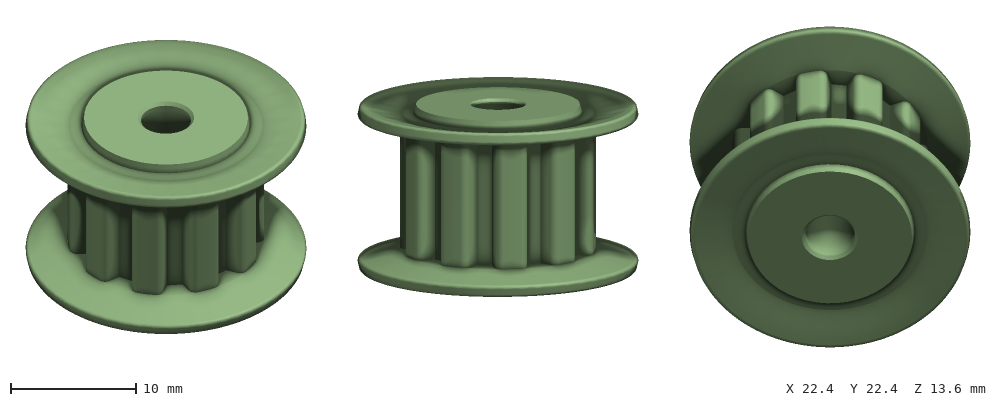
import cadquery as cq
import math

total_height = 13.55
flange_radius = 11.22
belt_width = 10.14

tooth_count = 10
tooth_tip_radius = 7.85
groove_depth = 1.41
groove_floor_width = 1.23
groove_flank_angle = 25.0
tooth_corner_radius = 0.6

flange_thickness = 0.99
flange_dish_angle = 11.5
flange_edge_radius = 0.27
dish_inner_radius = tooth_tip_radius

hub_base_radius = 6.75
hub_top_radius = 6.55
bore_radius = 2.0
bore_chamfer = 0.25

half_height = total_height / 2
half_belt = belt_width / 2
flange_seat = half_belt + flange_thickness


def groove_cutter():
    """One belt groove along -Y, its corners rounded into the tooth tips."""
    angle = math.radians(groove_flank_angle)
    sine = math.sin(angle)
    cosine = math.cos(angle)
    floor_half = groove_floor_width / 2
    floor_radius = tooth_tip_radius - groove_depth

    start_x = floor_half + tooth_corner_radius * cosine
    start_y = floor_radius - tooth_corner_radius * sine
    centre_radius = tooth_tip_radius - tooth_corner_radius
    along = start_x * sine + start_y * cosine
    across = start_x * cosine - start_y * sine
    flank_length = math.sqrt(centre_radius**2 - across**2) - along
    centre_x = start_x + flank_length * sine
    centre_y = start_y + flank_length * cosine

    flank_end = (floor_half + flank_length * sine, floor_radius + flank_length * cosine)
    tip_scale = tooth_tip_radius / centre_radius
    tip = (centre_x * tip_scale, centre_y * tip_scale)
    middle_angle = (math.pi - angle + math.atan2(centre_y, centre_x)) / 2
    middle = (
        centre_x + tooth_corner_radius * math.cos(middle_angle),
        centre_y + tooth_corner_radius * math.sin(middle_angle),
    )

    def right(point):
        return (point[0], -point[1])

    def left(point):
        return (-point[0], -point[1])

    outer = (tip[0], flange_radius)
    return (
        cq.Workplane("XY", origin=(0, 0, -half_belt))
        .moveTo(-floor_half, -floor_radius)
        .lineTo(floor_half, -floor_radius)
        .lineTo(*right(flank_end))
        .threePointArc(right(middle), right(tip))
        .lineTo(*right(outer))
        .lineTo(*left(outer))
        .lineTo(*left(tip))
        .threePointArc(left(middle), left(flank_end))
        .close()
        .extrude(belt_width)
    )


def toothed_body():
    body = cq.Workplane("XY").circle(tooth_tip_radius).extrude(half_belt, both=True)
    cutter = groove_cutter()
    for index in range(tooth_count):
        body = body.cut(cutter.rotate((0, 0, 0), (0, 0, 1), index * 360 / tooth_count))
    return body


def upper_flange():
    """Flat disc turning into a cone, with the rim square to the cone and rounded."""
    angle = math.radians(flange_dish_angle)
    corner_overhang = flange_edge_radius * (math.cos(angle) + math.sin(angle) - 1)
    lower_radius = flange_radius + corner_overhang
    lower_z = half_belt + (lower_radius - dish_inner_radius) * math.tan(angle)
    upper_radius = lower_radius - flange_thickness * math.sin(angle)
    upper_z = lower_z + flange_thickness * math.cos(angle)
    bend_shift = flange_thickness * math.tan(angle / 2)
    profile = [
        (0, half_belt),
        (dish_inner_radius, half_belt),
        (lower_radius, lower_z),
        (upper_radius, upper_z),
        (dish_inner_radius - bend_shift, flange_seat),
        (0, flange_seat),
    ]
    flange = cq.Workplane("XZ").polyline(profile).close().revolve(360, (0, 0), (0, 1))
    rim_search_radius = (dish_inner_radius + flange_radius) / 2
    rim_edges = flange.edges("%CIRCLE").filter(lambda edge: edge.radius() > rim_search_radius)
    return rim_edges.fillet(flange_edge_radius)


def upper_hub():
    hub_height = half_height - flange_seat
    return (
        cq.Workplane("XY", origin=(0, 0, flange_seat))
        .circle(hub_base_radius)
        .workplane(offset=hub_height)
        .circle(hub_top_radius)
        .loft()
    )


def bore():
    """Through hole with a 45 degree chamfer at each end."""
    mouth_radius = bore_radius + bore_chamfer
    profile = [
        (0, -half_height),
        (mouth_radius, -half_height),
        (bore_radius, bore_chamfer - half_height),
        (bore_radius, half_height - bore_chamfer),
        (mouth_radius, half_height),
        (0, half_height),
    ]
    return cq.Workplane("XZ").polyline(profile).close().revolve(360, (0, 0), (0, 1))


upper_end = upper_flange().union(upper_hub())
lower_end = upper_end.mirror("XY")
result = toothed_body().union(upper_end).union(lower_end).cut(bore())